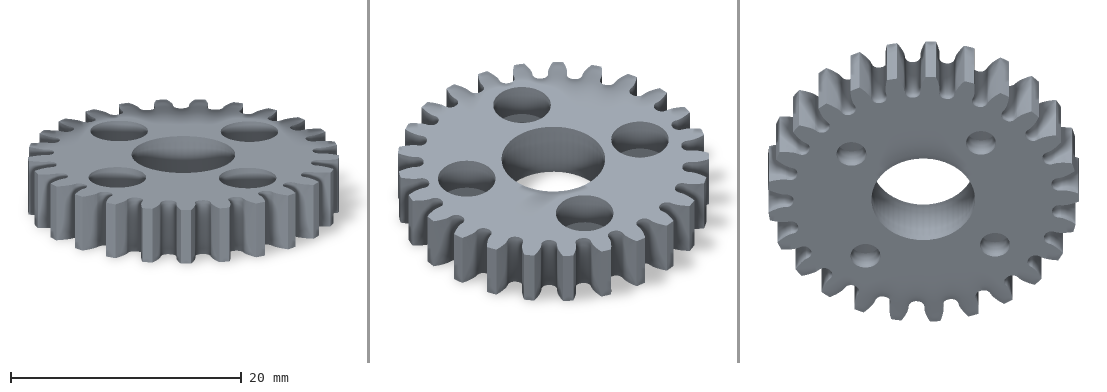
import cadquery as cq
import math


overall_height = 27.0
thickness = 5.0
tooth_count = 25
pressure_angle = math.radians(14.5)
dedendum = 1.25
root_fillet_radius = 0.62
bore_diameter = 9.0
bolt_hole_count = 4
bolt_circle_radius = 8.0
bolt_hole_diameter = 2.6
counterbore_diameter = 5.0
counterbore_depth = 3.0
flank_intervals = 4


def involute(angle):
    return math.tan(angle) - angle


pitch_step = 2 * math.pi / tooth_count
base_half_angle = pitch_step / 4 + involute(pressure_angle)
tip_pressure_angle = math.acos(tooth_count * math.cos(pressure_angle) / (tooth_count + 2))
tip_half_angle = base_half_angle - involute(tip_pressure_angle)
gap_half_angle = pitch_step / 2 - base_half_angle

corner_offset = pitch_step / 4 - tip_half_angle

outer_radius = overall_height / 2 / math.cos(corner_offset)
module = 2 * outer_radius / (tooth_count + 2)
pitch_radius = module * tooth_count / 2
base_radius = pitch_radius * math.cos(pressure_angle)
root_radius = pitch_radius - dedendum * module

fillet_center_radius = root_radius + root_fillet_radius
fillet_span_angle = math.asin(root_fillet_radius / fillet_center_radius)
fillet_end_radius = fillet_center_radius * math.cos(fillet_span_angle)
fillet_sweep = math.pi / 2 - fillet_span_angle
land_half_angle = gap_half_angle - fillet_span_angle


def polar(radius, angle):
    return (radius * math.cos(angle), radius * math.sin(angle))


def flank(center_angle, side):
    """Involute points from base circle to tip; side is -1 or +1 about the tooth centre."""
    points = []
    for i in range(flank_intervals + 1):
        roll = math.tan(tip_pressure_angle) * i / flank_intervals
        radius = base_radius * math.hypot(1, roll)
        half_angle = base_half_angle - involute(math.atan(roll))
        points.append(polar(radius, center_angle + side * half_angle))
    return points


def fillet_middle(gap_angle, side):
    """Point halfway along the root fillet on one side of a gap."""
    center_angle = gap_angle + side * land_half_angle
    center_x, center_y = polar(fillet_center_radius, center_angle)
    facing = center_angle + math.pi - side * fillet_sweep / 2
    offset_x, offset_y = polar(root_fillet_radius, facing)
    return (center_x + offset_x, center_y + offset_y)


def add_tooth(outline, center_angle):
    """Extend the outline over one tooth and through the gap that follows it."""
    rising = flank(center_angle, -1)
    falling = flank(center_angle, 1)[::-1]
    gap_angle = center_angle + pitch_step / 2
    fillet_start = polar(fillet_end_radius, gap_angle - gap_half_angle)
    land_start = polar(root_radius, gap_angle - land_half_angle)
    land_end = polar(root_radius, gap_angle + land_half_angle)
    fillet_end = polar(fillet_end_radius, gap_angle + gap_half_angle)
    return (
        outline
        .lineTo(*rising[0])
        .spline(rising[1:], includeCurrent=True)
        .threePointArc(polar(outer_radius, center_angle), falling[0])
        .spline(falling[1:], includeCurrent=True)
        .lineTo(*fillet_start)
        .threePointArc(fillet_middle(gap_angle, -1), land_start)
        .threePointArc(polar(root_radius, gap_angle), land_end)
        .threePointArc(fillet_middle(gap_angle, 1), fillet_end)
    )


def gear_blank():
    outline = cq.Workplane("XY").moveTo(*polar(fillet_end_radius, -base_half_angle))
    for tooth in range(tooth_count):
        outline = add_tooth(outline, tooth * pitch_step)
    return outline.close().extrude(thickness)


gear = gear_blank().faces(">Z").workplane(origin=(0, 0, thickness)).hole(bore_diameter)

result = (
    gear.faces(">Z")
    .workplane(origin=(0, 0, thickness))
    .polarArray(bolt_circle_radius, 0, 360, bolt_hole_count)
    .cboreHole(bolt_hole_diameter, counterbore_diameter, counterbore_depth)
)